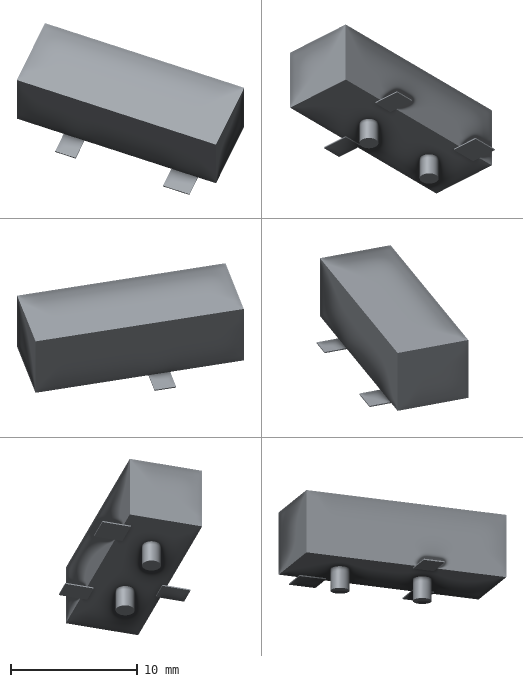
import cadquery as cq

housing_length = 17.0
housing_width = 6.0
housing_height = 5.2
housing_center_y = -0.05

pin_diameter = 1.5
pin_length = 1.8
pin_positions_x = (-2.52, 4.49)

lead_thickness = 0.1
lead_length = 2.35
lead_reach = 4.88
narrow_lead_width = 1.75
wide_lead_width = 2.25
wide_lead_setback = 0.05
front_narrow_lead_x = -3.62
rear_narrow_lead_x = -1.62
wide_lead_x = 5.81


def make_housing():
    return (
        cq.Workplane("XY")
        .center(0, housing_center_y)
        .rect(housing_length, housing_width)
        .extrude(housing_height)
    )


def make_pin(center_x):
    return cq.Workplane("XY").center(center_x, 0).circle(pin_diameter / 2).extrude(-pin_length)


def make_lead(center_x, width, outer_y):
    """Flat strip from outer_y back toward the pin row."""
    inward = -1 if outer_y > 0 else 1
    center_y = outer_y + inward * lead_length / 2
    return cq.Workplane("XY").center(center_x, center_y).rect(width, lead_length).extrude(-lead_thickness)


housing = make_housing()
pins = [make_pin(x) for x in pin_positions_x]
narrow_leads = [
    make_lead(x, narrow_lead_width, outer_y)
    for x, outer_y in ((front_narrow_lead_x, -lead_reach), (rear_narrow_lead_x, lead_reach))
]
wide_lead = make_lead(wide_lead_x, wide_lead_width, wide_lead_setback - lead_reach)

result = cq.Compound.makeCompound([
    housing.val(),
    *[pin.val() for pin in pins],
    *[lead.val() for lead in narrow_leads],
    wide_lead.val(),
])